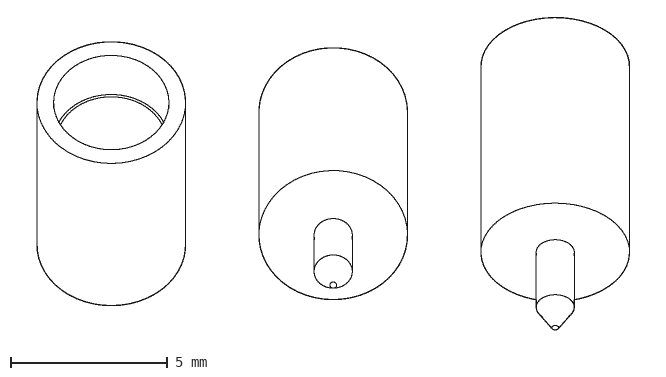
import cadquery as cq

body_diameter = 4.75
body_height = 7.9

mouth_diameter = 3.68
mouth_depth = 2.17
bore_diameter = 3.5
floor_thickness = (body_diameter - mouth_diameter) / 2
bore_depth = body_height - floor_thickness

pin_diameter = 1.22
pin_length = 3.21
tip_diameter = 0.22
tip_length = 0.87


def make_body():
    return cq.Workplane("XY").circle(body_diameter / 2).extrude(body_height)


def make_bore(diameter, depth):
    """Round cutter reaching down from the top of the body."""
    return cq.Workplane("XY").workplane(offset=body_height).circle(diameter / 2).extrude(-depth)


def make_pin():
    """Straight shank with a blunt conical tip, turned about Z."""
    shank_radius = pin_diameter / 2
    shank_end = tip_length - pin_length
    profile = [
        (0, 0),
        (shank_radius, 0),
        (shank_radius, shank_end),
        (tip_diameter / 2, -pin_length),
        (0, -pin_length),
    ]
    return cq.Workplane("XZ").polyline(profile).close().revolve(360, (0, 0, 0), (0, 1, 0))


result = (
    make_body()
    .cut(make_bore(mouth_diameter, mouth_depth))
    .cut(make_bore(bore_diameter, bore_depth))
    .union(make_pin())
)